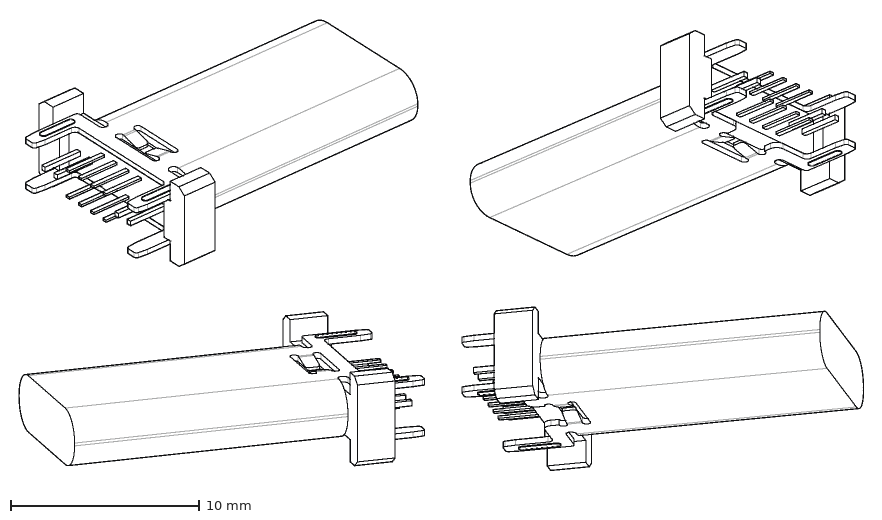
import cadquery as cq


TOTAL_LENGTH = 19.7
TOTAL_WIDTH = 12.0

SHELL_WIDTH = 8.95
SHELL_HEIGHT = 3.15
SHELL_RADIUS = 1.5
SHELL_FRONT_Y = 17.51
SHEET = 0.32

BLOCK_HEIGHT = 5.0
BLOCK_DEPTH = 2.13
BLOCK_INNER_X = 4.83
BLOCK_CHAMFER_X = 0.45
BLOCK_CHAMFER_Z = 0.35
HOUSING_HEIGHT = SHELL_HEIGHT - 2 * SHEET
RECESS_HALF_WIDTH = 4.3
RECESS_DEPTH = 0.67

PLATE_HALF_WIDTH = 4.67
PLATE_REAR_Y = 0.65
PLATE_TOP_Y = 1.58
PLATE_CORNER_RADIUS = 0.2
LEG_INNER_X = 3.75
LEG_TIP_Y = SHELL_FRONT_Y - TOTAL_LENGTH
LEG_TAPER_LENGTH = 0.73
LEG_TAPER = 0.08
LEG_TIP_RADIUS = 0.18
LEG_ROOT_RADIUS = 0.3
SIDE_SLOT_END_X = 2.64

BEAD_WIDTH = 0.43
BEAD_HEIGHT = 0.05
BEAD_TOP_Y = 0.93
BEAD_BOTTOM_Y = -1.4

WINDOW_SLOT_LENGTH = 3.39
WINDOW_SLOT_WIDTH = 0.43
FINGER_REAR_Y = PLATE_TOP_Y + WINDOW_SLOT_WIDTH
FINGER_FRONT_Y = 2.85
FINGER_ROOT_X = 1.44
FINGER_BEND_X = 1.32
FINGER_BEND_DROP = 0.02
FINGER_TIP_X = 0.28
FINGER_TIP_RADIUS = 0.2
FINGER_GAP_DEPTH = 0.15
NOTCH_RADIUS = 0.47

PIN_PITCH = 1.0
PIN_WIDTH = 0.28
PIN_END_Y = -1.77
OUTER_PIN_HEIGHT = 0.3
INNER_PIN_HEIGHT = 0.14
INNER_PIN_Z = 0.83
INNER_PIN_COLUMNS = (0.5, 1.5)
OUTER_PIN_COLUMNS = (2.5, 3.5)

SHELL_TOP_Z = SHELL_HEIGHT / 2
HOUSING_TOP_Z = HOUSING_HEIGHT / 2


def box(x_min, x_max, y_min, y_max, z_min, z_max):
    """Axis-aligned box between the given limits."""
    size = (x_max - x_min, y_max - y_min, z_max - z_min)
    return cq.Workplane("XY").box(*size, centered=False).translate((x_min, y_min, z_min))


def slot_along_x(center_x, y_min, y_max, length):
    """Round-ended cutter through the upper sheet, lying along X."""
    return (
        cq.Workplane("XY", origin=(center_x, (y_min + y_max) / 2, HOUSING_TOP_Z))
        .slot2D(length, y_max - y_min)
        .extrude(SHEET)
    )


def mirror_x(solid):
    """The solid together with its mirror image across X = 0."""
    return solid.union(solid.mirror("YZ"))


def make_shell():
    return (
        cq.Workplane("XZ", origin=(0, BLOCK_DEPTH, 0))
        .rect(SHELL_WIDTH, SHELL_HEIGHT)
        .extrude(BLOCK_DEPTH - SHELL_FRONT_Y)
        .edges("|Y")
        .fillet(SHELL_RADIUS)
    )


def make_housing():
    outer_x = TOTAL_WIDTH / 2
    block_z = BLOCK_HEIGHT / 2
    block = (
        cq.Workplane("XZ")
        .moveTo(BLOCK_INNER_X, -block_z)
        .lineTo(outer_x - BLOCK_CHAMFER_X, -block_z)
        .lineTo(outer_x, -block_z + BLOCK_CHAMFER_Z)
        .lineTo(outer_x, block_z - BLOCK_CHAMFER_Z)
        .lineTo(outer_x - BLOCK_CHAMFER_X, block_z)
        .lineTo(BLOCK_INNER_X, block_z)
        .close()
        .extrude(-BLOCK_DEPTH)
    )
    core = box(-BLOCK_INNER_X, BLOCK_INNER_X, 0, BLOCK_DEPTH, -HOUSING_TOP_Z, HOUSING_TOP_Z)
    recess = box(-RECESS_HALF_WIDTH, RECESS_HALF_WIDTH, 0, RECESS_DEPTH, -HOUSING_TOP_Z, HOUSING_TOP_Z)
    return core.cut(recess).union(mirror_x(block))


def make_leg():
    taper_y = LEG_TIP_Y + LEG_TAPER_LENGTH
    return (
        cq.Workplane("XY", origin=(0, 0, HOUSING_TOP_Z))
        .moveTo(LEG_INNER_X, PLATE_REAR_Y)
        .lineTo(LEG_INNER_X, taper_y)
        .lineTo(LEG_INNER_X + LEG_TAPER, LEG_TIP_Y)
        .lineTo(PLATE_HALF_WIDTH - LEG_TAPER, LEG_TIP_Y)
        .lineTo(PLATE_HALF_WIDTH, taper_y)
        .lineTo(PLATE_HALF_WIDTH, PLATE_REAR_Y)
        .close()
        .extrude(SHEET)
        .edges("|Z and <Y")
        .fillet(LEG_TIP_RADIUS)
    )


def make_leg_bead():
    center_x = (LEG_INNER_X + PLATE_HALF_WIDTH) / 2
    center_y = (BEAD_TOP_Y + BEAD_BOTTOM_Y) / 2
    return (
        cq.Workplane("XY", origin=(center_x, center_y, SHELL_TOP_Z))
        .slot2D(BEAD_TOP_Y - BEAD_BOTTOM_Y, BEAD_WIDTH, 90)
        .extrude(BEAD_HEIGHT)
    )


def make_plate():
    """Upper rear plate with legs and beads, joined to the shell by its middle part."""
    plate = (
        box(-PLATE_HALF_WIDTH, PLATE_HALF_WIDTH, PLATE_REAR_Y, PLATE_TOP_Y, HOUSING_TOP_Z, SHELL_TOP_Z)
        .edges("|Z and >Y")
        .fillet(PLATE_CORNER_RADIUS)
        .union(mirror_x(make_leg()))
    )
    root_x = LEG_INNER_X - LEG_ROOT_RADIUS
    root_y = PLATE_REAR_Y - LEG_ROOT_RADIUS
    root_fillet = box(root_x, LEG_INNER_X, root_y, PLATE_REAR_Y, HOUSING_TOP_Z, SHELL_TOP_Z).cut(
        cq.Workplane("XY", origin=(root_x, root_y, HOUSING_TOP_Z)).circle(LEG_ROOT_RADIUS).extrude(SHEET)
    )
    slot_width = BLOCK_DEPTH - PLATE_TOP_Y
    join_half_width = SIDE_SLOT_END_X + slot_width / 2
    join = box(-join_half_width, join_half_width, PLATE_TOP_Y, BLOCK_DEPTH, HOUSING_TOP_Z, SHELL_TOP_Z)
    slot_length = 2 * slot_width
    side_slot = slot_along_x(SIDE_SLOT_END_X + slot_length / 2, PLATE_TOP_Y, BLOCK_DEPTH, slot_length)
    return (
        plate.union(join.cut(mirror_x(side_slot)))
        .union(mirror_x(root_fillet))
        .union(mirror_x(make_leg_bead()))
    )


def make_finger_cutter():
    """Space above the right-hand finger, which bends down towards the middle."""
    above_finger = (
        cq.Workplane("XZ", origin=(0, FINGER_REAR_Y, 0))
        .moveTo(FINGER_ROOT_X, SHELL_TOP_Z)
        .lineTo(FINGER_BEND_X, SHELL_TOP_Z - FINGER_BEND_DROP)
        .lineTo(FINGER_TIP_X, HOUSING_TOP_Z)
        .lineTo(0, HOUSING_TOP_Z)
        .lineTo(0, SHELL_TOP_Z)
        .close()
        .extrude(FINGER_REAR_Y - FINGER_FRONT_Y)
    )
    gap_floor_z = HOUSING_TOP_Z - FINGER_GAP_DEPTH
    finger_area = (
        box(FINGER_TIP_X, FINGER_ROOT_X, FINGER_REAR_Y, FINGER_FRONT_Y, gap_floor_z, SHELL_TOP_Z)
        .edges("|Z and <X")
        .fillet(FINGER_TIP_RADIUS)
    )
    tip_end_x = FINGER_TIP_X + FINGER_TIP_RADIUS
    gap = box(0, tip_end_x, FINGER_REAR_Y, FINGER_FRONT_Y, gap_floor_z, SHELL_TOP_Z).cut(finger_area)
    return above_finger.union(gap)


def make_window_cutter():
    rear_slot = slot_along_x(0, PLATE_TOP_Y, FINGER_REAR_Y, WINDOW_SLOT_LENGTH)
    front_slot = slot_along_x(0, FINGER_FRONT_Y, FINGER_FRONT_Y + WINDOW_SLOT_WIDTH, WINDOW_SLOT_LENGTH)
    return rear_slot.union(front_slot).union(mirror_x(make_finger_cutter()))


def make_plate_notch_cutter():
    """Opening from the plate's rear edge to the window, with a rounded mouth."""
    mouth_x = FINGER_ROOT_X + NOTCH_RADIUS
    arc_end_y = PLATE_REAR_Y + NOTCH_RADIUS
    throat = box(-FINGER_ROOT_X, FINGER_ROOT_X, PLATE_REAR_Y, FINGER_REAR_Y, HOUSING_TOP_Z, SHELL_TOP_Z)
    corner = box(FINGER_ROOT_X, mouth_x, PLATE_REAR_Y, arc_end_y, HOUSING_TOP_Z, SHELL_TOP_Z).cut(
        cq.Workplane("XY", origin=(mouth_x, arc_end_y, HOUSING_TOP_Z)).circle(NOTCH_RADIUS).extrude(SHEET)
    )
    return throat.union(mirror_x(corner))


def make_pin(center_x, center_z, height):
    half_width = PIN_WIDTH / 2
    half_height = height / 2
    return box(
        center_x - half_width, center_x + half_width,
        PIN_END_Y, RECESS_DEPTH,
        center_z - half_height, center_z + half_height,
    )


plate = make_plate()
window = make_window_cutter()
result = make_shell().union(make_housing()).union(plate).union(plate.mirror("XY"))
result = result.cut(window).cut(window.mirror("XY"))

result = result.cut(make_plate_notch_cutter().mirror("XY"))

for side in (-1, 1):
    for column in INNER_PIN_COLUMNS:
        for row in (-1, 1):
            result = result.union(make_pin(side * column * PIN_PITCH, row * INNER_PIN_Z, INNER_PIN_HEIGHT))
    for column in OUTER_PIN_COLUMNS:
        result = result.union(make_pin(side * column * PIN_PITCH, 0, OUTER_PIN_HEIGHT))